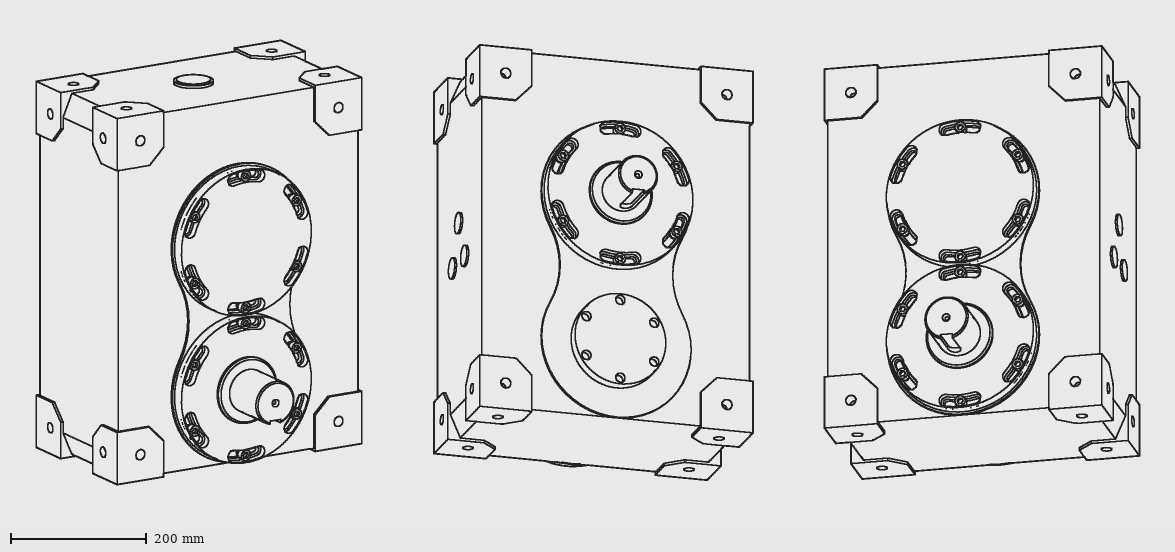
import cadquery as cq
import math


left, right = -1, 1

body_x, body_y, body_z = 222.5, 412.0, 552.5
bevel_y, bevel_z = 15.0, 35.0

foot_thick = 4.0
foot_x, foot_y, foot_z = 70.0, 80.0, 80.0
foot_clip = 24.0
foot_hole_dia = 15.0
foot_hole_inset = 40.0
foot_hole_depth = 25.0
outer_x = body_x / 2 + foot_thick
outer_y = body_y / 2 + foot_thick
outer_z = body_z / 2 + foot_thick

boss_rad = 115.0
waist_rad = 124.0
shaft_spacing = 226.0
lower_z = -body_z / 2 + boss_rad
upper_z = lower_z + shaft_spacing

flange_rad = 111.5
flange_thick = 19.5
cover_rad = 70.0
cover_hole_circle = 60.0
cover_hole_dia = 14.0
cover_hole_depth = 11.0
cover_hole_count = 6
face_x = outer_x + flange_thick

slot_count = 6
slot_circle = 101.0
slot_half_angle = 12.8
slot_recess_width = 18.0
slot_recess_depth = 11.0
slot_width = 10.5
screw_head_dia = 16.0
screw_head_height = 10.0
socket_flats = 8.0
socket_depth = 5.0

left_shaft_rad, left_shaft_len = 30.0, 90.0
right_shaft_rad, right_shaft_len = 32.5, 83.5
left_collar_rad, right_collar_rad = 48.0, 50.0
collar_thick = 6.0
collar_chamfer = 3.0
shaft_chamfer = 2.0
keyway_width = 18.0
keyway_depth = 7.0
left_keyway_len, right_keyway_len = 70.5, 62.0
centre_dia, centre_depth = 5.5, 17.0
centre_sink_dia, centre_sink_angle = 11.0, 60

top_plug_y = -9.5
top_plug_rad, top_plug_height = 29.0, 4.0
top_cap_rad, top_cap_height = 25.5, 3.0
top_cap_bevel, top_cap_bevel_height = 4.5, 1.0
side_plug_rad, side_plug_height = 16.0, 3.0
side_plug_places = ((-30.5, -19.5), (0, 40.5), (30.5, -19.5))


def polar(radius, degrees):
    angle = math.radians(degrees)
    return (radius * math.cos(angle), radius * math.sin(angle))


def curved_slot(width, depth):
    """Curved slot with round ends, sunk below Z = 0 and centred on the X axis."""
    inner = slot_circle - width / 2
    outer = slot_circle + width / 2
    band = (
        cq.Workplane("XY")
        .moveTo(*polar(outer, -slot_half_angle))
        .threePointArc((outer, 0), polar(outer, slot_half_angle))
        .lineTo(*polar(inner, slot_half_angle))
        .threePointArc((inner, 0), polar(inner, -slot_half_angle))
        .close()
        .extrude(-depth)
    )
    end_points = [polar(slot_circle, turn) for turn in (-slot_half_angle, slot_half_angle)]
    ends = cq.Workplane("XY").pushPoints(end_points).circle(width / 2).extrude(-depth)
    return band.union(ends)


def cap_screw():
    """Socket screw head standing on the floor of a slot recess."""
    start = cq.Workplane("XY", origin=(slot_circle, 0, -slot_recess_depth))
    shank_length = flange_thick - slot_recess_depth
    head = start.circle(screw_head_dia / 2).extrude(screw_head_height)
    shank = start.circle(slot_width / 2).extrude(-shank_length)
    socket = (
        start.workplane(offset=screw_head_height)
        .polygon(6, socket_flats, circumscribed=True)
        .extrude(-socket_depth)
    )
    return head.union(shank).cut(socket)


def flange():
    """Round flange with its outer face at Z = 0."""
    disc = cq.Workplane("XY").circle(flange_rad).extrude(-flange_thick)
    recess = curved_slot(slot_recess_width, slot_recess_depth)
    opening = recess.union(curved_slot(slot_width, flange_thick))
    screw = cap_screw()
    for i in range(slot_count):
        turn = i * 360 / slot_count
        disc = disc.cut(opening.rotate((0, 0, 0), (0, 0, 1), turn))
        disc = disc.union(screw.rotate((0, 0, 0), (0, 0, 1), turn))
    return disc


def place_on_side(shape, x, z, side):
    """Turn a shape so that its Z points outward along X and its X points up."""
    if side == right:
        shape = shape.rotate((0, 0, 0), (0, 0, 1), 180)
    return shape.rotate((0, 0, 0), (0, 1, 0), side * 90).translate((side * x, 0, z))


def housing():
    box = cq.Workplane("XY").box(body_x, body_y, body_z)
    half_y, half_z = body_y / 2, body_z / 2
    half_span = outer_x - foot_x
    corner = [(half_y, half_z), (half_y - bevel_y, half_z), (half_y, half_z - bevel_z)]
    wedge = cq.Workplane("YZ").polyline(corner).close().extrude(half_span, both=True)
    wedge = wedge.union(wedge.mirror("XZ"))
    return box.cut(wedge).cut(wedge.mirror("XY"))


def foot_plate(normal, x_dir, across, along):
    """Clipped plate on one face of the (-X, -Y, -Z) corner, with its hole cutter."""
    start = cq.Workplane(cq.Plane((-outer_x, -outer_y, -outer_z), xDir=x_dir, normal=normal))
    outline = [
        (0, 0),
        (across, 0),
        (across, along - foot_clip),
        (across - foot_clip, along),
        (0, along),
    ]
    plate = start.polyline(outline).close().extrude(foot_thick)
    hole = (
        start.center(foot_hole_inset, foot_hole_inset)
        .circle(foot_hole_dia / 2)
        .extrude(foot_hole_depth)
    )
    return plate, hole


def on_all_corners(shape):
    for plane in ("YZ", "XZ", "XY"):
        shape = shape.union(shape.mirror(plane))
    return shape


def add_feet(solid):
    faces = (
        ((1, 0, 0), (0, 1, 0), foot_y, foot_z),
        ((0, 1, 0), (0, 0, 1), foot_z, foot_x),
        ((0, 0, 1), (1, 0, 0), foot_x, foot_y),
    )
    holes = []
    for face in faces:
        plate, hole = foot_plate(*face)
        solid = solid.union(on_all_corners(plate))
        holes.append(hole)
    for hole in holes:
        solid = solid.cut(on_all_corners(hole))
    return solid


def boss_plate():
    """Waisted plate around both shaft axes, standing out on both X faces."""
    half_gap = shaft_spacing / 2
    reach = boss_rad + waist_rad
    mid_z = (lower_z + upper_z) / 2
    waist_y = math.sqrt(reach**2 - half_gap**2)
    touch_y = waist_y * boss_rad / reach
    touch_z = half_gap * (1 - boss_rad / reach)
    neck_y = waist_y - waist_rad
    top = half_gap + boss_rad
    return (
        cq.Workplane("YZ", origin=(0, 0, mid_z))
        .moveTo(touch_y, touch_z)
        .threePointArc((0, top), (-touch_y, touch_z))
        .threePointArc((-neck_y, 0), (-touch_y, -touch_z))
        .threePointArc((0, -top), (touch_y, -touch_z))
        .threePointArc((neck_y, 0), (touch_y, touch_z))
        .close()
        .extrude(outer_x, both=True)
    )


def cover():
    """Blind cover with its outer face at Z = 0."""
    return (
        cq.Workplane("XY", origin=(0, 0, -flange_thick))
        .circle(cover_rad)
        .extrude(flange_thick)
        .faces(">Z")
        .workplane()
        .polarArray(cover_hole_circle, 0, 360, cover_hole_count)
        .hole(cover_hole_dia, cover_hole_depth)
    )


def shaft(radius, length, collar_rad, keyway_len):
    """Shaft end standing on Z = 0 with a collar and an open keyway towards -X."""
    collar = cq.Workplane("XY").circle(collar_rad).extrude(collar_thick)
    collar = collar.faces(">Z").chamfer(collar_chamfer)
    bar = cq.Workplane("XY").circle(radius).extrude(length)
    bar = bar.faces(">Z").chamfer(shaft_chamfer)
    bar = bar.faces(">Z").workplane().cskHole(
        centre_dia, centre_sink_dia, centre_sink_angle, centre_depth
    )
    round_z = length - keyway_len + keyway_width / 2
    floor = cq.Workplane("YZ", origin=(-radius, 0, 0))
    keyway = floor.center(0, round_z).circle(keyway_width / 2).extrude(keyway_depth)
    run = length - round_z
    keyway = keyway.union(
        floor.center(0, round_z + run / 2).rect(keyway_width, run).extrude(keyway_depth)
    )
    return collar.union(bar.cut(keyway))


def top_plug():
    start = cq.Workplane("XY", origin=(0, top_plug_y, body_z / 2))
    base = start.circle(top_plug_rad).extrude(top_plug_height)
    cap = start.workplane(offset=top_plug_height).circle(top_cap_rad).extrude(top_cap_height)
    return base.union(cap.faces(">Z").chamfer(top_cap_bevel_height, top_cap_bevel))


def side_plugs():
    plane = cq.Plane((0, body_y / 2, 0), xDir=(1, 0, 0), normal=(0, 1, 0))
    points = [(x, -z) for x, z in side_plug_places]
    return cq.Workplane(plane).pushPoints(points).circle(side_plug_rad).extrude(side_plug_height)


left_shaft = shaft(left_shaft_rad, left_shaft_len, left_collar_rad, left_keyway_len)
right_shaft = shaft(right_shaft_rad, right_shaft_len, right_collar_rad, right_keyway_len)

result = add_feet(housing().union(boss_plate()))
for side, z in ((left, upper_z), (right, upper_z), (right, lower_z)):
    result = result.union(place_on_side(flange(), face_x, z, side))
result = result.union(place_on_side(cover(), face_x, lower_z, left))
result = result.union(place_on_side(left_shaft, face_x, upper_z, left))
result = result.union(place_on_side(right_shaft, face_x, lower_z, right))
result = result.union(top_plug()).union(side_plugs())